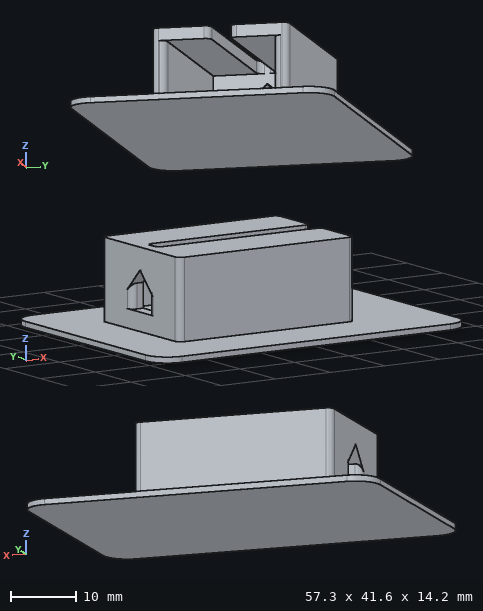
import cadquery as cq

plate_length = 57.3
plate_width = 41.6
plate_thickness = 1.0
plate_corner_radius = 4.0

total_height = 14.15
margin = 10.0
housing_length = 32.3
edge_radius = 1.05
wall = 2.25
roof_thickness = 2.0
housing_width = plate_width - 2 * margin
housing_left = -plate_length / 2 + margin
housing_right = housing_left + housing_length

cavity_left = housing_left + wall
cavity_width = housing_width - 2 * wall
cavity_floor = plate_thickness + roof_thickness
cavity_top = total_height - roof_thickness

slot_width = 3.05

opening_width = 5.0
opening_floor = 4.0
opening_apex = 10.55

clearance = 0.6


def box(x_min, x_max, width, z_min, z_max):
    """Box centred on Y = 0."""
    return (
        cq.Workplane("XY", origin=((x_min + x_max) / 2, 0, z_min))
        .rect(x_max - x_min, width)
        .extrude(z_max - z_min)
    )


def flared_passage(mouth_x, inner_x, width, z_min, z_max):
    """Upright passage along X whose side walls round outward at mouth_x."""
    into_wall = 1 if inner_x > mouth_x else -1
    half_width = width / 2
    flare_half_width = half_width + edge_radius
    throat_x = mouth_x + into_wall * edge_radius
    arc_offset = edge_radius * (1 - 0.5**0.5)
    arc_x = mouth_x + into_wall * arc_offset
    arc_y = half_width + arc_offset
    return (
        cq.Workplane("XY", origin=(0, 0, z_min))
        .moveTo(inner_x, -half_width)
        .lineTo(throat_x, -half_width)
        .threePointArc((arc_x, -arc_y), (mouth_x, -flare_half_width))
        .lineTo(mouth_x, flare_half_width)
        .threePointArc((arc_x, arc_y), (throat_x, half_width))
        .lineTo(inner_x, half_width)
        .close()
        .extrude(z_max - z_min)
    )


def make_plate():
    plate = box(-plate_length / 2, plate_length / 2, plate_width, 0, plate_thickness)
    return plate.edges("|Z").fillet(plate_corner_radius)


def make_housing():
    housing = box(housing_left, housing_right, housing_width, 0, total_height)
    return housing.edges("|Z").fillet(edge_radius)


def make_cavity():
    return flared_passage(housing_right, cavity_left, cavity_width, cavity_floor, cavity_top)


def make_slot():
    slot = flared_passage(
        housing_right, cavity_left, slot_width, cavity_top - clearance, total_height + clearance
    )
    return slot.edges("|Z and <X").fillet(edge_radius)


def make_opening():
    """Flared passage limited above by a gable with 45 degree slopes."""
    inner_x = cavity_left + clearance
    passage = flared_passage(housing_left, inner_x, opening_width, opening_floor, opening_apex)
    half_mouth = opening_width / 2 + edge_radius
    eaves = opening_apex - half_mouth
    gable = (
        cq.Workplane("YZ", origin=(housing_left, 0, 0))
        .moveTo(-half_mouth, opening_floor)
        .lineTo(half_mouth, opening_floor)
        .lineTo(half_mouth, eaves)
        .lineTo(0, opening_apex)
        .lineTo(-half_mouth, eaves)
        .close()
        .extrude(inner_x - housing_left)
    )
    return passage.intersect(gable)


result = make_plate().union(make_housing())
result = result.cut(make_cavity()).cut(make_slot()).cut(make_opening())